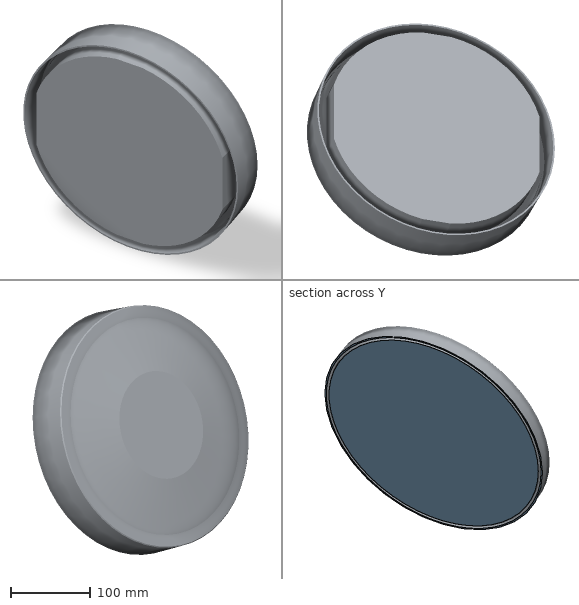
import cadquery as cq

rim_y = 3.0
plate_front_y = 32.8
ledge_y = 37.5
housing_back_y = 56.5
dome_back_y = 69.0

rim_radius = 156.0
back_radius = 154.5
rim_inner_radius = 154.0
ledge_radius = 152.5
back_edge_chamfer = 1.2
dome_base_radius = 138.5
dome_top_radius = 68.7

plate_radius = 149.3
plate_clearance = 1.0
plate_thickness = 11.0

block_radius = 141.2
block_width = 270.0
block_height = 279.8


def disc(radius, start_y, end_y):
    """Cylinder about the Y axis between two positions."""
    return cq.Workplane("XZ", origin=(0, start_y, 0)).circle(radius).extrude(start_y - end_y)


def make_housing():
    """Revolve the shell profile, given as (radius, y) points, about the Y axis."""
    recess_radius = plate_radius + plate_clearance
    recess_y = plate_front_y + plate_thickness
    return (
        cq.Workplane("XY")
        .moveTo(0, recess_y)
        .lineTo(recess_radius, recess_y)
        .lineTo(recess_radius, ledge_y)
        .lineTo(ledge_radius, ledge_y)
        .lineTo(rim_inner_radius, rim_y)
        .lineTo(rim_radius, rim_y)
        .lineTo(back_radius, housing_back_y - back_edge_chamfer)
        .lineTo(back_radius - back_edge_chamfer, housing_back_y)
        .lineTo(dome_base_radius, housing_back_y)
        .lineTo(dome_top_radius, dome_back_y)
        .lineTo(0, dome_back_y)
        .close()
        .revolve(360, (0, 0, 0), (0, 1, 0))
    )


def make_plate():
    return disc(plate_radius, plate_front_y, plate_front_y + plate_thickness)


def make_block():
    flats = cq.Workplane("XY").box(block_width, plate_front_y, block_height)
    flats = flats.translate((0, plate_front_y / 2, 0))
    return disc(block_radius, 0, plate_front_y).intersect(flats)


housing = make_housing()
plate = make_plate()
block = make_block()

result = cq.Compound.makeCompound([housing.val(), plate.val(), *block.solids().vals()])